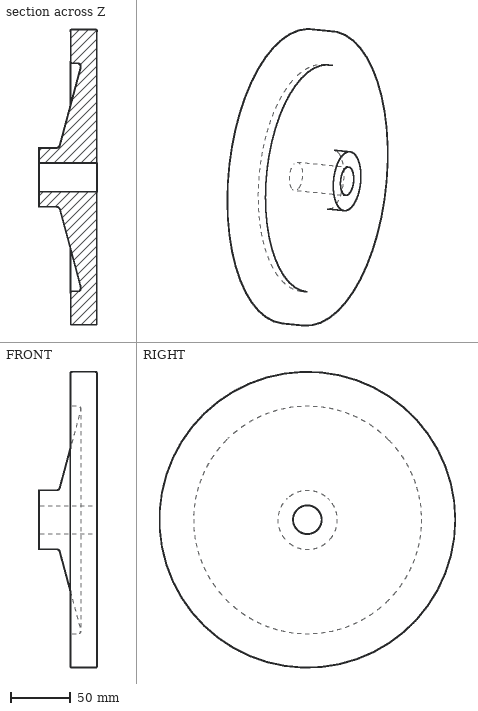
import cadquery as cq
import math

rim_diameter = 250.0
rim_width = 22.5
recess_diameter = 192.5
hub_diameter = 50.0
bore_diameter = 24.0
overall_length = 49.0
hub_straight_length = 15.0
cone_angle = math.radians(15.0)
web_fillet = 2.5
edge_fillet = 1.5

hub_face_x = -overall_length / 2
back_face_x = overall_length / 2
rim_face_x = back_face_x - rim_width
rim_radius = rim_diameter / 2
recess_radius = recess_diameter / 2
hub_radius = hub_diameter / 2
bore_radius = bore_diameter / 2
hub_fillet_outer_radius = hub_radius + web_fillet * (1 - math.sin(cone_angle))
hub_fillet_end_x = hub_face_x + hub_straight_length + web_fillet * math.cos(cone_angle)


def cone_x(radius):
    """Axial position of the conical web surface at a given radius."""
    rise = (radius - hub_fillet_outer_radius) * math.tan(cone_angle)
    return hub_fillet_end_x + rise


def circle_at(x, radius):
    """Selector for the circular edges at a given X, up to a given radius."""
    margin = 0.12
    return cq.selectors.BoxSelector(
        (x - margin, -radius - margin, -radius - margin),
        (x + margin, radius + margin, radius + margin),
        boundingbox=True,
    )


section = (
    cq.Workplane("XY")
    .moveTo(hub_face_x, bore_radius)
    .lineTo(hub_face_x, hub_radius)
    .lineTo(cone_x(hub_radius), hub_radius)
    .lineTo(cone_x(recess_radius), recess_radius)
    .lineTo(rim_face_x, recess_radius)
    .lineTo(rim_face_x, rim_radius)
    .lineTo(back_face_x, rim_radius)
    .lineTo(back_face_x, bore_radius)
    .close()
)
wheel = section.revolve(360, (0, 0, 0), (1, 0, 0))

wheel = wheel.edges(circle_at(cone_x(hub_radius), hub_radius)).fillet(web_fillet)
wheel = wheel.edges(circle_at(cone_x(recess_radius), recess_radius)).fillet(web_fillet)

wheel = wheel.edges(circle_at(rim_face_x, rim_radius)).fillet(edge_fillet)
outermost = cq.selectors.RadiusNthSelector(-1)
wheel = wheel.edges(circle_at(back_face_x, rim_radius)).edges(outermost).fillet(edge_fillet)

result = wheel